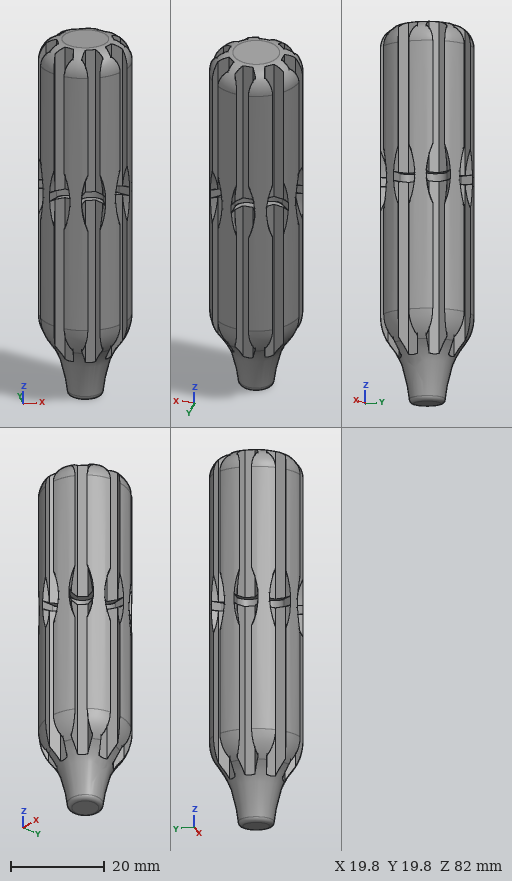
import cadquery as cq
import math

length = 82.0
body_radius = 10.0
top_round = 5.0

shoulder_top_z = 18.8
shoulder_bottom_z = 12.6
shoulder_arc_radius = 10.0
neck_z = 7.2
neck_radius = 5.0
tip_radius = 3.85
tip_half_angle = 9.0
tip_round = 1.0

flute_count = 8
flute_floor_radius = 6.0
flute_floor_half_width = 1.11
flute_widest_radius = 8.0
flute_widest_half_width = 2.3
flute_mouth_half_width = 1.3

waist_z = 48.1
swell_half_length = 6.2
waist_half_width = 2.6
pocket_height = 2.0
pocket_center_radius = 7.0

pocket_mouth_radius = math.sqrt(body_radius**2 - waist_half_width**2)

outside_radius = body_radius + 1.6


def make_body():
    arc_drop = shoulder_top_z - shoulder_bottom_z
    arc_center_x = body_radius - shoulder_arc_radius
    shoulder_bottom_radius = arc_center_x + math.sqrt(shoulder_arc_radius**2 - arc_drop**2)
    shoulder_direction = (-arc_drop, arc_center_x - shoulder_bottom_radius)
    half_angle = math.radians(tip_half_angle)
    tip_direction = (-math.sin(half_angle), -math.cos(half_angle))
    profile = (
        cq.Workplane("XZ")
        .moveTo(0, length)
        .lineTo(body_radius - top_round, length)
        .tangentArcPoint((body_radius, length - top_round), relative=False)
        .lineTo(body_radius, shoulder_top_z)
        .tangentArcPoint((shoulder_bottom_radius, shoulder_bottom_z), relative=False)
        .spline(
            [(neck_radius, neck_z), (tip_radius, tip_round)],
            tangents=[shoulder_direction, tip_direction],
            includeCurrent=True,
        )
        .radiusArc((tip_radius - tip_round, 0), tip_round)
        .lineTo(0, 0)
        .close()
    )
    return profile.revolve(360, (0, 0, 0), (0, 1, 0))


def make_channel():
    """Hexagonal channel on the +X side; its sloping lips run on past the body surface."""
    mouth_radius = math.sqrt(body_radius**2 - flute_mouth_half_width**2)
    lip_slope = (flute_widest_half_width - flute_mouth_half_width) / (mouth_radius - flute_widest_radius)
    outer_half_width = flute_widest_half_width - lip_slope * (outside_radius - flute_widest_radius)
    outline = [
        (flute_floor_radius, -flute_floor_half_width),
        (flute_widest_radius, -flute_widest_half_width),
        (outside_radius, -outer_half_width),
        (outside_radius, outer_half_width),
        (flute_widest_radius, flute_widest_half_width),
        (flute_floor_radius, flute_floor_half_width),
    ]
    return cq.Workplane("XY").polyline(outline).close().extrude(length)


def make_mouth_swell():
    """Lens-shaped cut that starts at the channel's widest line and flares outward at the waist."""
    mouth_depth = pocket_mouth_radius - flute_widest_radius
    flare = waist_half_width - flute_widest_half_width
    flare_angle = math.degrees(math.atan2(flare, mouth_depth))
    inner_end_half_width = flute_mouth_half_width - flare
    bottom_z = waist_z - swell_half_length
    top_z = waist_z + swell_half_length
    return (
        cq.Workplane("YZ", origin=(flute_widest_radius, 0, 0))
        .moveTo(inner_end_half_width, bottom_z)
        .threePointArc((flute_widest_half_width, waist_z), (inner_end_half_width, top_z))
        .lineTo(-inner_end_half_width, top_z)
        .threePointArc((-flute_widest_half_width, waist_z), (-inner_end_half_width, bottom_z))
        .close()
        .extrude(outside_radius - flute_widest_radius, taper=-flare_angle)
    )


def make_waist_pocket():
    """Flat pocket with a half-round inner end, as wide as the swollen mouth."""
    return (
        cq.Workplane("XY", origin=(0, 0, waist_z - pocket_height / 2))
        .moveTo(outside_radius, -waist_half_width)
        .lineTo(outside_radius, waist_half_width)
        .lineTo(pocket_center_radius, waist_half_width)
        .threePointArc(
            (pocket_center_radius - waist_half_width, 0),
            (pocket_center_radius, -waist_half_width),
        )
        .close()
        .extrude(pocket_height)
    )


flute = make_channel().union(make_mouth_swell()).union(make_waist_pocket())

result = make_body()
for index in range(flute_count):
    angle = index * 360 / flute_count
    result = result.cut(flute.rotate((0, 0, 0), (0, 0, 1), angle))